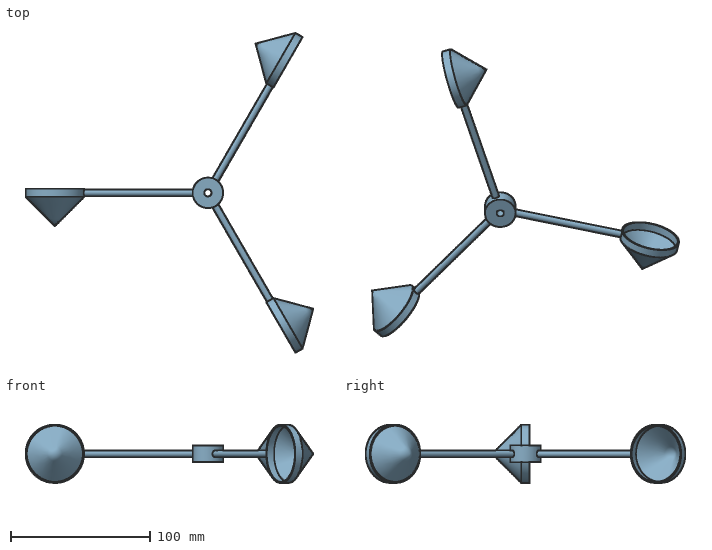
import cadquery as cq

hub_radius = 11.0
hub_height = 12.0
bore_diameter = 5.0

arm_count = 3
arm_diameter = 5.0
cup_distance = 110.0

cup_radius = 21.04
cup_wall = 1.0
rim_depth = 6.0
cavity_radius = cup_radius - cup_wall


def pointed_cylinder(radius):
    """Cylinder and 45 degree cone on the Y axis, open end at +Y and tip at -Y."""
    rim_back = rim_depth / 2
    rim_front = -rim_depth / 2
    profile = (
        cq.Workplane("XY")
        .moveTo(0, rim_back)
        .lineTo(radius, rim_back)
        .lineTo(radius, rim_front)
        .lineTo(0, rim_front - radius)
        .close()
    )
    solid = profile.revolve(360, (0, 0, 0), (0, 1, 0))
    return solid.translate((-cup_distance, 0, 0))


def arm_with_cup():
    """Round arm along -X carrying one hollow cup, whose cavity stays clear of the arm."""
    arm_length = cup_distance - cavity_radius
    arm = cq.Workplane("YZ").circle(arm_diameter / 2).extrude(-arm_length)
    return arm.union(pointed_cylinder(cup_radius)).cut(pointed_cylinder(cavity_radius))


hub = cq.Workplane("XY").circle(hub_radius).extrude(hub_height / 2, both=True)
bore = cq.Workplane("XY").circle(bore_diameter / 2).extrude(hub_height, both=True)

result = hub
for index in range(arm_count):
    angle = index * 360 / arm_count
    result = result.union(arm_with_cup().rotate((0, 0, 0), (0, 0, 1), angle))
result = result.cut(bore)